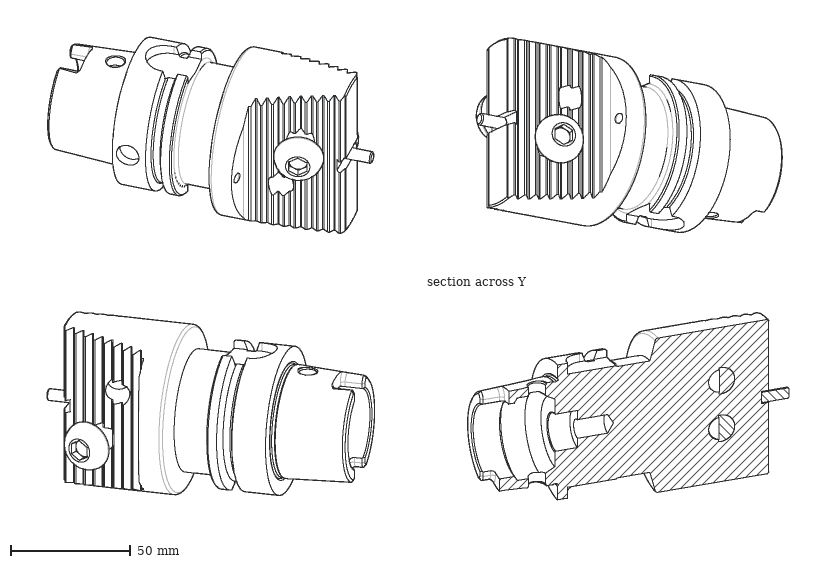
import cadquery as cq
import math


overall_length = 136.4

shank_tip_radius = 21.7
shank_chamfer_length = 1.0
shank_small_radius = 22.6
shank_large_radius = 24.1
shank_end_x = 29.9
flange_start_x = 31.9
relief_radius = 23.9
relief_depth = 0.4
relief_corner_radius = 24.4
relief_outer_radius = 25.1

flange_radius = 31.5
flange_end_x = 57.8
flange_rim_chamfer = 0.7
groove_start_x = 46.6
groove_lip_x = 47.9
groove_lip_radius = 28.0
groove_floor_start_x = 48.7
groove_floor_end_x = 51.7
groove_end_x = 53.3
groove_floor_radius = 27.5

neck_radius = 26.0
neck_fillet = 1.5
neck_end_x = 73.5
head_radius = 36.0
head_rounding = 1.4
head_end_x = 127.3
head_end_chamfer = 0.7
face_angle = 15.0
face_tan = math.tan(math.radians(face_angle))

bore_mouth_radius = 17.6
bore_mouth_chamfer = 0.7
bore_radius = 34.0 / 2
bore_lip_end_x = 12.5
bore_recess_radius = 19.1
bore_recess_start_x = 13.9
bore_recess_end_x = 24.8
bore_floor_radius = 15.7
bore_depth = 30.7
thread_hole_radius = 17.0 / 2
thread_hole_chamfer = 0.4
thread_hole_end_x = 40.9
drill_radius = 8.5 / 2
drill_end_x = 54.5
drill_point_angle = 118.0

slot_half_width = 6.3
slot_corner_z = 17.9
slot_shelf_z = 20.9
slot_floor_fillet = 1.6
slot_mouth_chamfer = 1.4
deep_slot_depth = 10.0
shallow_slot_depth = 5.9

cross_hole_diameter = 7.5
cross_hole_rim_diameter = 8.5
cross_hole_rim_z = 23.6
cross_hole_bevel = 0.7
cross_hole_x = 22.8

keyway_width = 18.0
keyway_floor_z = 26.5
keyway_start_x = 36.5
chip_hole_diameter = 10.0
chip_hole_x = 38.7
chip_hole_depth = 4.6

shoulder_x = 88.5
shoulder_break_y = 27.3
valley_x = 90.7
valley_y = 17.0
tooth_pitch = 4.7
tooth_height = 3.0
tooth_count = 8
valley_half_flat = 0.3
flank_angle = 30.0
flank_run = tooth_height * math.tan(math.radians(flank_angle))
cut_reach = 40.9

coolant_hole_diameter = 4.2
coolant_hole_y = 31.9
coolant_hole_depth = 8.2

screw_z = 11.0
screw_along_face = 18.7
screw_seat_height = 12.1
screw_diameter = 12.0
screw_length = 25.0
screw_exit_diameter = 10.2
screw_head_diameter = 21.0
screw_head_flat = 10.2
screw_head_height = 6.8
screw_rim_height = 0.7
dome_bulge = 1.2
hex_across_flats = 7.6
hex_across_corners = hex_across_flats / math.cos(math.radians(30))
hex_depth = 3.5
socket_point_depth = 2.2

pin_diameter = 5.0
pin_chamfer = 0.5
end_slot_width = 5.5
end_slot_depth = 3.3


def revolved(profile):
    """Turn a closed X-radius profile around the X axis."""
    return profile.close().revolve(360, (0, 0, 0), (1, 0, 0))


def face_point(along, height):
    """XY point on the +Y serrated face, measured along it and away from it."""
    angle = math.radians(face_angle)
    x = valley_x + along * math.cos(angle) + height * math.sin(angle)
    y = valley_y - along * math.sin(angle) + height * math.cos(angle)
    return x, y


def both_sides(body):
    """The body and its copy turned half a revolution about the tool axis."""
    return [body.rotate((0, 0, 0), (1, 0, 0), angle) for angle in (0, 180)]


def turned_blank():
    """Shank, flange, neck and head as one turned shape."""
    cone_top_x = neck_end_x + (head_radius - neck_radius) * face_tan
    blank = revolved(
        cq.Workplane("XY")
        .moveTo(0, 0)
        .lineTo(0, shank_tip_radius)
        .lineTo(shank_chamfer_length, shank_small_radius)
        .lineTo(shank_end_x, shank_large_radius)
        .lineTo(shank_end_x + relief_depth, relief_radius)
        .lineTo(flange_start_x - relief_depth, relief_radius)
        .lineTo(flange_start_x + relief_depth, relief_corner_radius)
        .lineTo(flange_start_x, relief_outer_radius)
        .lineTo(flange_start_x, flange_radius)
        .lineTo(groove_start_x, flange_radius)
        .lineTo(groove_lip_x, groove_lip_radius)
        .lineTo(groove_floor_start_x, groove_floor_radius)
        .lineTo(groove_floor_end_x, groove_floor_radius)
        .lineTo(groove_end_x, flange_radius)
        .lineTo(flange_end_x - flange_rim_chamfer, flange_radius)
        .lineTo(flange_end_x, flange_radius - flange_rim_chamfer)
        .lineTo(flange_end_x, neck_radius)
        .lineTo(neck_end_x, neck_radius)
        .lineTo(cone_top_x, head_radius)
        .lineTo(head_end_x - head_end_chamfer, head_radius)
        .lineTo(head_end_x, head_radius - head_end_chamfer)
        .lineTo(head_end_x, 0)
    )
    flange_corner = cq.selectors.RadiusNthSelector(0)
    near_flange = cq.selectors.BoxSelector(
        (flange_end_x - 0.1, -neck_radius - 1.4, -neck_radius - 1.4),
        (flange_end_x + 0.1, neck_radius + 1.4, neck_radius + 1.4),
        boundingbox=True,
    )
    near_cone_top = cq.selectors.BoxSelector(
        (cone_top_x - 0.1, -head_radius - 1.4, -head_radius - 1.4),
        (cone_top_x + 0.1, head_radius + 1.4, head_radius + 1.4),
        boundingbox=True,
    )
    blank = blank.edges(near_flange).edges(flange_corner).fillet(neck_fillet)
    return blank.edges(near_cone_top).fillet(head_rounding)


def shank_bore():
    """Clamping bore, coolant tube thread hole and drilled hole on the axis."""
    point_length = drill_radius / math.tan(math.radians(drill_point_angle / 2))
    return revolved(
        cq.Workplane("XY")
        .moveTo(0, 0)
        .lineTo(0, bore_mouth_radius)
        .lineTo(bore_mouth_chamfer, bore_radius)
        .lineTo(bore_lip_end_x, bore_radius)
        .lineTo(bore_recess_start_x, bore_recess_radius)
        .lineTo(bore_recess_end_x, bore_recess_radius)
        .lineTo(bore_depth, bore_floor_radius)
        .lineTo(bore_depth, thread_hole_radius + thread_hole_chamfer)
        .lineTo(bore_depth + thread_hole_chamfer, thread_hole_radius)
        .lineTo(thread_hole_end_x, thread_hole_radius)
        .lineTo(thread_hole_end_x, drill_radius)
        .lineTo(drill_end_x, drill_radius)
        .lineTo(drill_end_x + point_length, 0)
    )


def slot_section(margin):
    """Drive slot outline, widened by a margin: narrow, then flaring to a flat shelf."""
    bottom = bore_floor_radius / 2
    half_width = slot_half_width + margin
    shelf_z = slot_shelf_z - margin
    round_radius = slot_shelf_z - slot_corner_z - margin
    corner_z = shelf_z - round_radius
    return (
        cq.Workplane("YZ")
        .moveTo(-half_width, bottom)
        .lineTo(half_width, bottom)
        .lineTo(half_width, corner_z)
        .radiusArc((half_width + round_radius, shelf_z), round_radius)
        .lineTo(flange_radius, shelf_z)
        .lineTo(flange_radius, flange_radius)
        .lineTo(-flange_radius, flange_radius)
        .lineTo(-flange_radius, shelf_z)
        .lineTo(-half_width - round_radius, shelf_z)
        .radiusArc((-half_width, corner_z), round_radius)
        .close()
    )


def drive_slot(depth):
    """Slot on the +Z side of the shank end with a rounded floor and a bevelled mouth."""
    slot = slot_section(0).extrude(depth).faces(">X").edges().fillet(slot_floor_fillet)
    bevel = math.degrees(math.atan(slot_mouth_chamfer / shank_chamfer_length))
    mouth = slot_section(slot_mouth_chamfer).extrude(shank_chamfer_length, taper=bevel)
    return slot.union(mouth)


def cross_hole():
    """Hole along Z through both shank walls, bevelled where it enters them."""
    hole_radius = cross_hole_diameter / 2
    rim_radius = cross_hole_rim_diameter / 2
    half = (
        cq.Workplane("XZ")
        .lineTo(hole_radius, 0)
        .lineTo(hole_radius, cross_hole_rim_z - cross_hole_bevel)
        .lineTo(rim_radius, cross_hole_rim_z)
        .lineTo(rim_radius, flange_radius)
        .lineTo(0, flange_radius)
        .close()
        .revolve(360, (0, 0, 0), (0, 1, 0))
        .translate((cross_hole_x, 0, 0))
    )
    return half.union(half.mirror("XY"))


def keyway():
    """Flat-floored keyway on the +Z side of the flange with a round end."""
    radius = keyway_width / 2
    end_x = flange_end_x + neck_fillet
    slot = (
        cq.Workplane("XY", origin=(0, 0, keyway_floor_z))
        .moveTo(end_x, -radius)
        .lineTo(end_x, radius)
        .lineTo(keyway_start_x + radius, radius)
        .threePointArc((keyway_start_x, 0), (keyway_start_x + radius, -radius))
        .close()
    )
    return slot.extrude(flange_radius - keyway_floor_z)


def chip_hole():
    """Blind hole for a data chip on the -Y side of the flange."""
    hole = cq.Workplane("XZ", origin=(chip_hole_x, -flange_radius, 0)).circle(chip_hole_diameter / 2)
    return hole.extrude(-chip_hole_depth)


def serration_cut():
    """Material removed from the +Y side of the head to leave the shoulder and the teeth."""
    tip_at_shoulder_y = face_point(-tooth_pitch / 2, tooth_height)[1]
    points = [
        (shoulder_x - (cut_reach - shoulder_break_y) * face_tan, cut_reach),
        (shoulder_x, shoulder_break_y),
        (shoulder_x, tip_at_shoulder_y),
    ]
    for tooth in range(tooth_count + 1):
        valley = tooth * tooth_pitch
        points.append(face_point(valley - valley_half_flat - flank_run, tooth_height))
        points.append(face_point(valley - valley_half_flat, 0))
        points.append(face_point(valley + valley_half_flat, 0))
        if tooth < tooth_count:
            points.append(face_point(valley + valley_half_flat + flank_run, tooth_height))
    points.append((overall_length, points[-1][1]))
    points.append((overall_length, cut_reach))
    return cq.Workplane("XY").polyline(points).close().extrude(cut_reach, both=True)


def coolant_hole():
    """Blind hole along X into the sloping +Y shoulder."""
    shoulder_point_x = shoulder_x - (coolant_hole_y - shoulder_break_y) * face_tan
    hole = cq.Workplane("YZ", origin=(shoulder_point_x, coolant_hole_y, 0))
    return hole.circle(coolant_hole_diameter / 2).extrude(coolant_hole_depth, both=True)


def screw_plane():
    """Plane under the head of the -Z screw on the +Y face, facing along the screw."""
    x, y = face_point(screw_along_face, screw_seat_height)
    return cq.Plane(origin=(x, y, -screw_z), xDir=(0, 0, 1), normal=(face_tan, 1, 0))


def screw_hole():
    """Hole for a screw: full size as deep as the screw, then narrower to the far face."""
    seat = cq.Workplane(screw_plane()).circle(screw_diameter / 2).extrude(-screw_length)
    exit_hole = cq.Workplane(screw_plane()).circle(screw_exit_diameter / 2).extrude(-2 * screw_length)
    return seat.union(exit_hole)


def end_slot():
    """Slot across the end face in the Y direction."""
    slot = cq.Workplane("XY").box(2 * end_slot_depth, 2 * head_radius, end_slot_width)
    return slot.translate((head_end_x, 0, 0))


def make_housing():
    """Holder from the shank to the serrated head."""
    housing = turned_blank().cut(shank_bore())
    housing = housing.cut(drive_slot(deep_slot_depth))
    shallow_slot = drive_slot(shallow_slot_depth).rotate((0, 0, 0), (1, 0, 0), 180)
    housing = housing.cut(shallow_slot).cut(cross_hole()).cut(chip_hole())
    for cutter in (keyway(), serration_cut(), coolant_hole(), screw_hole()):
        for side in both_sides(cutter):
            housing = housing.cut(side)
    return housing.cut(end_slot())


def make_screw():
    """Button head screw of the +Y face with a hexagon socket."""
    rim_radius = screw_head_diameter / 2
    flat_radius = screw_head_flat / 2
    dome_middle = (
        (rim_radius + flat_radius) / 2 + dome_bulge / math.sqrt(2),
        (screw_rim_height + screw_head_height) / 2 + dome_bulge / math.sqrt(2),
    )
    screw = (
        cq.Workplane("XZ")
        .moveTo(0, -screw_length)
        .lineTo(screw_diameter / 2, -screw_length)
        .lineTo(screw_diameter / 2, 0)
        .lineTo(rim_radius, 0)
        .lineTo(rim_radius, screw_rim_height)
        .threePointArc(dome_middle, (flat_radius, screw_head_height))
        .lineTo(0, screw_head_height)
        .close()
        .revolve(360, (0, 0, 0), (0, 1, 0))
    )
    socket = cq.Workplane("XY", origin=(0, 0, screw_head_height)).polygon(6, hex_across_corners)
    screw = screw.cut(socket.extrude(-hex_depth))
    socket_floor_z = screw_head_height - hex_depth
    point = cq.Solid.makeCone(
        hex_across_flats / 2, 0, socket_point_depth, cq.Vector(0, 0, socket_floor_z), cq.Vector(0, 0, -1)
    )
    return cq.Workplane(screw.cut(cq.Workplane(point)).val().moved(screw_plane().location))


def make_pin():
    """Round pin standing in the end slot on the tool axis."""
    start_x = head_end_x - end_slot_depth
    pin = cq.Workplane("YZ", origin=(start_x, 0, 0)).circle(pin_diameter / 2)
    return pin.extrude(overall_length - start_x).edges().chamfer(pin_chamfer)


housing = make_housing()
screws = both_sides(make_screw())
pin = make_pin()

result = cq.Compound.makeCompound([housing.val(), *[screw.val() for screw in screws], pin.val()])